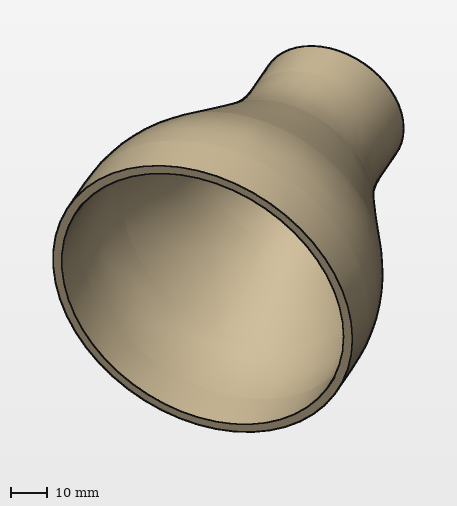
import cadquery as cq
import math

length = 90.0
wide_outer_diameter = 88.9
wide_inner_diameter = 83.7
narrow_outer_diameter = 42.4
narrow_inner_diameter = 38.4
collar_length = 12.0
outer_bend_radius = 45.0

wide_wall = (wide_outer_diameter - wide_inner_diameter) / 2
narrow_wall = (narrow_outer_diameter - narrow_inner_diameter) / 2


def cone_angle(radius_drop, bend_radius_sum):
    """Half angle of the cone that is tangent to both arcs.

    Each arc's end tangents meet bend_radius * tan(angle / 2) beyond its collar, so
    tan(angle) * (span - bend_radius_sum * tan(angle / 2)) = radius_drop.
    With half = tan(angle / 2) this is a quadratic in half; its smaller root applies.
    """
    span = length - 2 * collar_length
    square_term = 2 * bend_radius_sum - radius_drop
    root = math.sqrt(span**2 - square_term * radius_drop)
    return 2 * math.atan((span - root) / square_term)


def arc_offset(bend_radius, turn):
    """Radial and axial distance travelled along an arc after the given turn."""
    return bend_radius * (1 - math.cos(turn)), bend_radius * math.sin(turn)


def reducer_body(wide_diameter, narrow_diameter, wide_bend_radius, narrow_bend_radius):
    """Solid of revolution: wide collar, convex arc, cone, concave arc, narrow collar."""
    wide_radius = wide_diameter / 2
    narrow_radius = narrow_diameter / 2
    angle = cone_angle(wide_radius - narrow_radius, wide_bend_radius + narrow_bend_radius)
    wide_bend_start = collar_length
    narrow_bend_end = length - collar_length

    def wide_bend_point(turn):
        radial, axial = arc_offset(wide_bend_radius, turn)
        return wide_radius - radial, wide_bend_start + axial

    def narrow_bend_point(turn):
        radial, axial = arc_offset(narrow_bend_radius, turn)
        return narrow_radius + radial, narrow_bend_end - axial

    return (
        cq.Workplane("XY")
        .lineTo(wide_radius, 0)
        .lineTo(wide_radius, wide_bend_start)
        .threePointArc(wide_bend_point(angle / 2), wide_bend_point(angle))
        .lineTo(*narrow_bend_point(angle))
        .threePointArc(narrow_bend_point(angle / 2), (narrow_radius, narrow_bend_end))
        .lineTo(narrow_radius, length)
        .lineTo(0, length)
        .close()
        .revolve(360, (0, 0, 0), (0, 1, 0))
    )


outer_body = reducer_body(
    wide_outer_diameter,
    narrow_outer_diameter,
    outer_bend_radius,
    outer_bend_radius,
)
inner_cavity = reducer_body(
    wide_inner_diameter,
    narrow_inner_diameter,
    outer_bend_radius - wide_wall,
    outer_bend_radius + narrow_wall,
)
result = outer_body.cut(inner_cavity)